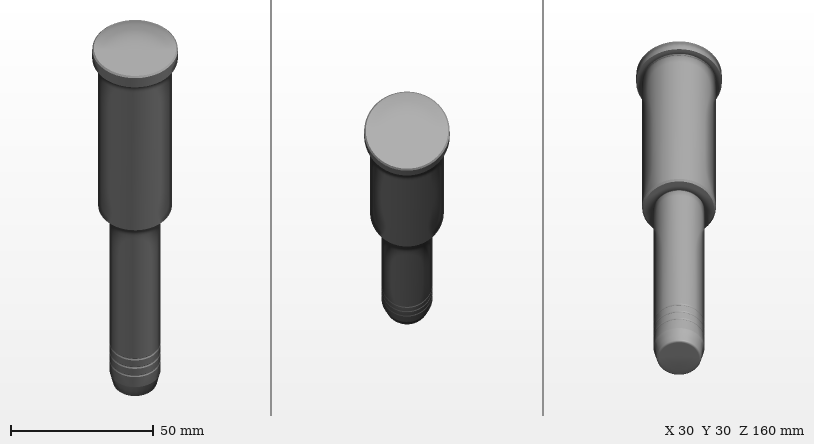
import cadquery as cq

total_height = 160.0
head_diameter = 30.0
head_thickness = 5.0
head_chamfer = 0.56
body_diameter = 26.0
body_bottom_z = 84.0
body_chamfer = 0.6
pin_diameter = 18.0

head_relief_depth = 0.24
body_relief_depth = 0.5
relief_width = 1.0

groove_depth = 0.3
groove_width = 1.0
groove_pitch = 4.0
lowest_groove_z = 11.0
groove_count = 3

tip_height = 5.8
tip_diameter = 15.4
tip_fillet = 0.8


def cylinder(diameter, bottom_z, top_z):
    """Solid cylinder on the Z axis between two heights."""
    return cq.Workplane("XY").workplane(offset=bottom_z).circle(diameter / 2).extrude(top_z - bottom_z)


def ring_groove(diameter, depth, bottom_z, width):
    """Ring that cuts a square groove into a shaft of the given diameter."""
    outer = cylinder(diameter, bottom_z, bottom_z + width)
    core = cylinder(diameter - 2 * depth, bottom_z, bottom_z + width)
    return outer.cut(core)


def v_groove(diameter, depth, center_z, width):
    """Ring that cuts a symmetric V groove into a shaft of the given diameter."""
    radius = diameter / 2
    profile = [
        (radius, center_z - width / 2),
        (radius - depth, center_z),
        (radius, center_z + width / 2),
    ]
    return cq.Workplane("XZ").polyline(profile).close().revolve(360, (0, 0, 0), (0, 1, 0))


head_bottom_z = total_height - head_thickness
head = cylinder(head_diameter, head_bottom_z, total_height).faces(">Z").chamfer(head_chamfer)

body = cylinder(body_diameter, body_bottom_z, head_bottom_z).faces("<Z").chamfer(body_chamfer)
head_relief_z = head_bottom_z - relief_width / 2
body = body.cut(v_groove(body_diameter, head_relief_depth, head_relief_z, relief_width))

pin = cylinder(pin_diameter, tip_height, body_bottom_z)
pin = pin.cut(ring_groove(pin_diameter, body_relief_depth, body_bottom_z - relief_width, relief_width))
for index in range(groove_count):
    groove_center_z = lowest_groove_z + index * groove_pitch
    pin = pin.cut(v_groove(pin_diameter, groove_depth, groove_center_z, groove_width))

tip = (
    cq.Workplane("XY")
    .circle(tip_diameter / 2)
    .workplane(offset=tip_height)
    .circle(pin_diameter / 2)
    .loft(ruled=True)
    .faces("<Z")
    .edges()
    .fillet(tip_fillet)
)

result = head.union(body).union(pin).union(tip)